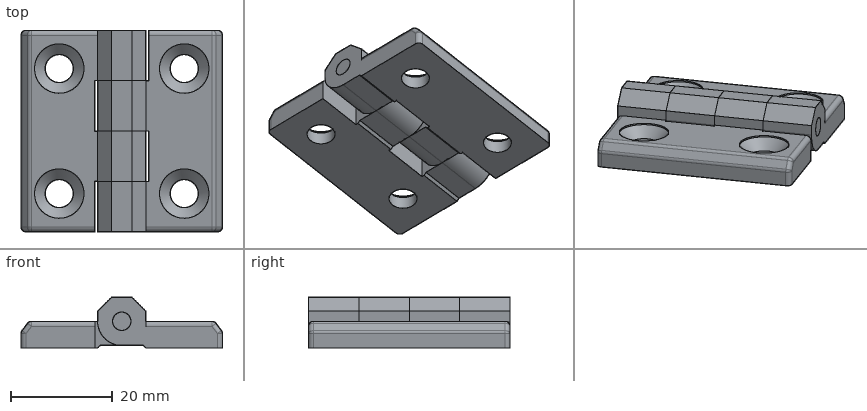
import cadquery as cq
import math

LENGTH = 39.6
HALF = LENGTH / 2
PLATE_THICKNESS = 5.25

KNUCKLE_RADIUS = 4.75
KNUCKLE_COUNT = 4
KNUCKLE_LENGTH = LENGTH / KNUCKLE_COUNT
HALF_FLAT = KNUCKLE_RADIUS * math.tan(math.radians(22.5))
AXIS_Z = PLATE_THICKNESS
UNDERCUT = AXIS_Z - KNUCKLE_RADIUS
KNUCKLE_GAP = 0.5

PIN_DIAMETER = 3.6

BEVEL_WIDTH = 1.6
BEVEL_HEIGHT = 2.1
EDGE_RADIUS = 1.0

HOLE_OFFSET = 12.28
HOLE_DIAMETER = 5.45
SINK_DIAMETER = 9.7
SINK_LIP = 0.28
SINK_CONE = (SINK_DIAMETER - HOLE_DIAMETER) / 2


def extrude_along_y(profile, y_start, length):
    """Extrude a closed XZ profile toward +Y, starting at y_start."""
    return profile.extrude(-length).translate((0, y_start, 0))


def make_plate():
    """Plate on the -X side, reaching the pin axis, with its outer edges rounded."""
    profile = (
        cq.Workplane("XZ")
        .moveTo(-HALF, 0)
        .lineTo(0, 0)
        .lineTo(0, PLATE_THICKNESS)
        .lineTo(-HALF + BEVEL_WIDTH, PLATE_THICKNESS)
        .lineTo(-HALF, PLATE_THICKNESS - BEVEL_HEIGHT)
        .close()
    )
    plate = extrude_along_y(profile, -HALF, LENGTH)
    return plate.edges("not(<Z or >X)").fillet(EDGE_RADIUS)


def make_undercut():
    """Shallow channel under the knuckles, with 45 degree sides."""
    profile = (
        cq.Workplane("XZ")
        .moveTo(-KNUCKLE_RADIUS, 0)
        .lineTo(-KNUCKLE_RADIUS + UNDERCUT, UNDERCUT)
        .lineTo(0, UNDERCUT)
        .lineTo(0, 0)
        .close()
    )
    return extrude_along_y(profile, -HALF, LENGTH)


def make_knuckle_slot(y_start):
    """Clearance in the -X plate for one knuckle of the opposite leaf."""
    width = KNUCKLE_RADIUS + KNUCKLE_GAP
    slot = cq.Workplane("XY").box(width, KNUCKLE_LENGTH, PLATE_THICKNESS, centered=False)
    return slot.translate((-width, y_start, 0))


def make_knuckle(y_start):
    """One knuckle joined to the -X plate, rounded below the axis on its +X side."""
    arc_reach = KNUCKLE_RADIUS * math.sqrt(0.5)
    top_z = AXIS_Z + KNUCKLE_RADIUS
    shoulder_z = AXIS_Z + HALF_FLAT
    profile = (
        cq.Workplane("XZ")
        .moveTo(-KNUCKLE_RADIUS, UNDERCUT)
        .lineTo(0, UNDERCUT)
        .threePointArc((arc_reach, AXIS_Z - arc_reach), (KNUCKLE_RADIUS, AXIS_Z))
        .lineTo(KNUCKLE_RADIUS, shoulder_z)
        .lineTo(HALF_FLAT, top_z)
        .lineTo(-HALF_FLAT, top_z)
        .lineTo(-KNUCKLE_RADIUS, shoulder_z)
        .close()
    )
    return extrude_along_y(profile, y_start, KNUCKLE_LENGTH)


def make_screw_hole(y):
    """Cutter for one countersunk screw hole through the -X plate."""
    hole_radius = HOLE_DIAMETER / 2
    sink_radius = SINK_DIAMETER / 2
    cone_top_z = PLATE_THICKNESS - SINK_LIP
    half_section = (
        cq.Workplane("XZ")
        .moveTo(0, 0)
        .lineTo(hole_radius, 0)
        .lineTo(hole_radius, cone_top_z - SINK_CONE)
        .lineTo(sink_radius, cone_top_z)
        .lineTo(sink_radius, PLATE_THICKNESS)
        .lineTo(0, PLATE_THICKNESS)
        .close()
    )
    return half_section.revolve(360, (0, 0, 0), (0, 1, 0)).translate((-HOLE_OFFSET, y, 0))


def make_pin():
    """Cylinder along the hinge axis over the full length."""
    circle = cq.Workplane("XZ").center(0, AXIS_Z).circle(PIN_DIAMETER / 2)
    return extrude_along_y(circle, -HALF, LENGTH)


def make_leaf(pin):
    """Leaf on the -X side: slots and knuckles alternate from the -Y end."""
    leaf = make_plate().cut(make_undercut())
    for index in range(KNUCKLE_COUNT):
        y_start = -HALF + index * KNUCKLE_LENGTH
        if index % 2 == 0:
            leaf = leaf.cut(make_knuckle_slot(y_start))
        else:
            leaf = leaf.union(make_knuckle(y_start))
    for y in (-HOLE_OFFSET, HOLE_OFFSET):
        leaf = leaf.cut(make_screw_hole(y))
    return leaf.cut(pin)


pin = make_pin()

leaves = []
for angle in (0, 180):
    leaf = make_leaf(pin).rotate((0, 0, 0), (0, 0, 1), angle)
    leaves.append(leaf.solids().val())

result = cq.Compound.makeCompound([*leaves, pin.val()])